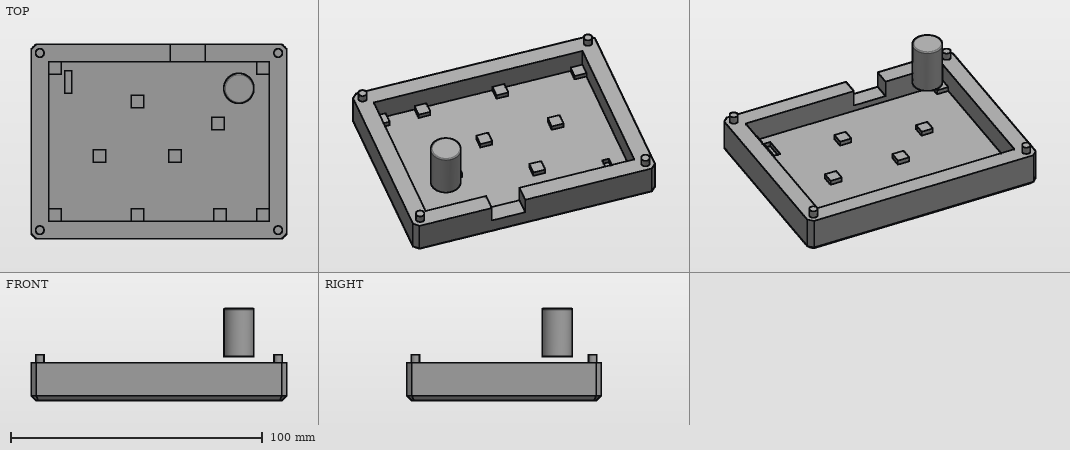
import cadquery as cq

LENGTH = 101.7
WIDTH = 77.4
TRAY_HEIGHT = 15.2
EDGE_CHAMFER = 2.0
WALL = 7.0
FLOOR = 5.4

NOTCH_WIDTH = 14.0
NOTCH_CENTER_X = 11.4
NOTCH_FLOOR_Z = 8.0

PEG_DIAMETER = 3.4
PEG_HEIGHT = 3.2
PEG_INSET = WALL / 2

PAD_SIZE = 5.0
PAD_HEIGHT = 1.9
FREE_PADS = [(-23.7, -5.8), (6.3, -5.8), (-8.5, 15.9), (23.4, 7.2)]
FRONT_PADS_X = [-8.5, 24.2]

SLOT_SIZE_X = 2.7
SLOT_SIZE_Y = 9.0
SLOT_DEPTH = 2.0
SLOT_CENTER = (-36.1, 23.6)

KNOB_DIAMETER = 12.0
TOTAL_HEIGHT = 36.6
KNOB_BOTTOM_Z = 17.5
KNOB_FILLET = 0.5
KNOB_CENTER = (31.7, 21.2)

POCKET_LENGTH = LENGTH - 2 * WALL
POCKET_WIDTH = WIDTH - 2 * WALL


def block(size_x, size_y, size_z, center_x, center_y, bottom_z):
    return (
        cq.Workplane("XY")
        .box(size_x, size_y, size_z, centered=(True, True, False))
        .translate((center_x, center_y, bottom_z))
    )


def make_shell():
    shell = cq.Workplane("XY").box(LENGTH, WIDTH, TRAY_HEIGHT, centered=(True, True, False))
    shell = shell.edges("|Z").chamfer(EDGE_CHAMFER)
    shell = shell.faces("<Z").chamfer(EDGE_CHAMFER)
    pocket = block(POCKET_LENGTH, POCKET_WIDTH, TRAY_HEIGHT, 0, 0, FLOOR)
    notch = block(NOTCH_WIDTH, WALL, TRAY_HEIGHT, NOTCH_CENTER_X, (WIDTH - WALL) / 2, NOTCH_FLOOR_Z)
    slot = block(SLOT_SIZE_X, SLOT_SIZE_Y, SLOT_DEPTH, *SLOT_CENTER, FLOOR - SLOT_DEPTH)
    return shell.cut(pocket).cut(notch).cut(slot)


def make_pads():
    corner_x = (POCKET_LENGTH - PAD_SIZE) / 2
    corner_y = (POCKET_WIDTH - PAD_SIZE) / 2
    centers = [(x, y) for x in (-corner_x, corner_x) for y in (-corner_y, corner_y)]
    centers += [(x, -corner_y) for x in FRONT_PADS_X]
    centers += FREE_PADS
    return [block(PAD_SIZE, PAD_SIZE, PAD_HEIGHT, x, y, FLOOR) for x, y in centers]


def make_pegs():
    return (
        cq.Workplane("XY")
        .workplane(offset=TRAY_HEIGHT)
        .rect(LENGTH - 2 * PEG_INSET, WIDTH - 2 * PEG_INSET, forConstruction=True)
        .vertices()
        .circle(PEG_DIAMETER / 2)
        .extrude(PEG_HEIGHT)
    )


def make_tray():
    tray = make_shell()
    for pad in make_pads():
        tray = tray.union(pad)
    return tray.union(make_pegs())


def make_knob():
    return (
        cq.Workplane("XY")
        .workplane(offset=KNOB_BOTTOM_Z)
        .center(*KNOB_CENTER)
        .circle(KNOB_DIAMETER / 2)
        .extrude(TOTAL_HEIGHT - KNOB_BOTTOM_Z)
        .faces(">Z")
        .edges()
        .fillet(KNOB_FILLET)
    )


tray = make_tray()
knob = make_knob()
result = cq.Compound.makeCompound([tray.val(), knob.val()])